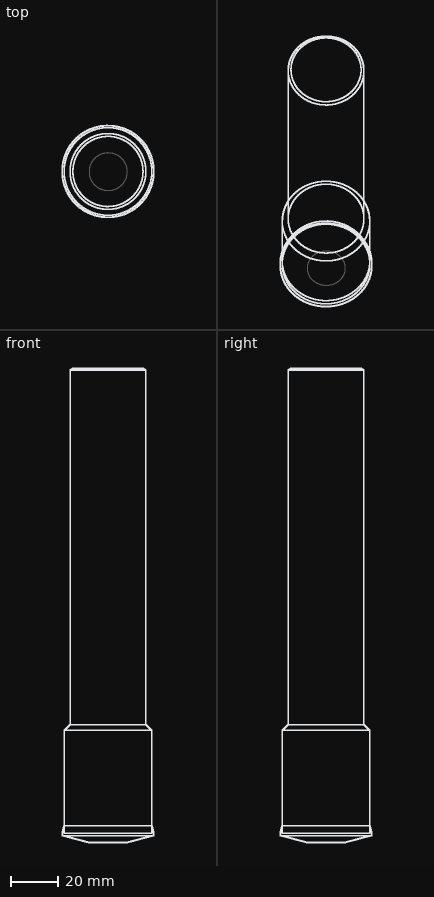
import cadquery as cq

total_length = 200.0

rim_radius = 19.5
flat_radius = 8.0
cone_height = 3.0
rim_thickness = 1.0
cap_height = 7.2

sleeve_radius = 18.5
shaft_radius = 16.0
shoulder_top = 49.8
shoulder_bottom = shoulder_top - (sleeve_radius - shaft_radius)
end_chamfer_height = 0.8
end_chamfer_width = 1.2

rim_top = cone_height + rim_thickness
seat_height = rim_top


def revolve_about_z(profile):
    """Turn a closed radius-height profile on the XZ plane into a solid of revolution."""
    return profile.revolve(360, (0, 0, 0), (0, 1, 0))


def make_body():
    """Solid shaft with a wider lower sleeve, a bevelled shoulder and a chamfered top."""
    profile = (
        cq.Workplane("XZ")
        .moveTo(0, seat_height)
        .lineTo(sleeve_radius, seat_height)
        .lineTo(sleeve_radius, shoulder_bottom)
        .lineTo(shaft_radius, shoulder_top)
        .lineTo(shaft_radius, total_length - end_chamfer_height)
        .lineTo(shaft_radius - end_chamfer_width, total_length)
        .lineTo(0, total_length)
        .close()
    )
    return revolve_about_z(profile)


def make_cap():
    """Flat-tipped conical cap whose flared collar tapers up to meet the sleeve."""
    profile = (
        cq.Workplane("XZ")
        .moveTo(0, 0)
        .lineTo(flat_radius, 0)
        .lineTo(rim_radius, cone_height)
        .lineTo(rim_radius, rim_top)
        .lineTo(sleeve_radius, cap_height)
        .lineTo(sleeve_radius, seat_height)
        .lineTo(0, seat_height)
        .close()
    )
    return revolve_about_z(profile)


body = make_body()
cap = make_cap()

result = cq.Compound.makeCompound([body.val(), cap.val()])